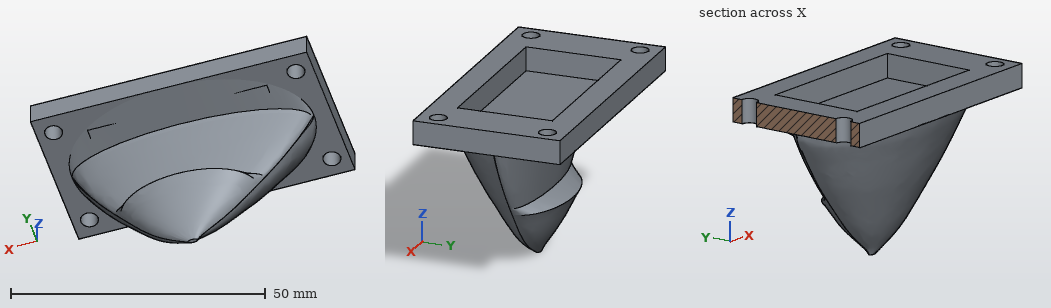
import cadquery as cq

PLATE_LENGTH = 57.0
PLATE_WIDTH = 31.0
PLATE_THICKNESS = 5.0

HOLE_DIAMETER = 3.5
HOLE_SPACING_X = 50.0
HOLE_SPACING_Y = 23.0

WINDOW_LENGTH = 37.0
WINDOW_WIDTH = 20.0

CONE_SECTIONS = [
    (0.0, 25.0, 25.0, PLATE_WIDTH / 2),
    (5.0, 22.6, 22.9, 13.35),
    (10.0, 19.25, 19.9, 11.1),
    (15.0, 15.5, 16.45, 8.7),
    (20.0, 11.25, 12.65, 6.2),
    (25.0, 6.5, 8.35, 3.6),
    (28.0, 2.85, 4.5, 1.6),
    (30.0, 1.0, 1.0, 0.4),
]

SKIRT_EDGE = (0.0, PLATE_WIDTH / 2)
SKIRT_ROOT = (0.55, 6.4)
WALL_TOP = (1.5, 6.05)
WALL_MIDDLE = (8.5, 4.7)
WALL_FOOT = (15.7, 3.4)
LEDGE_RIM = (17.4, 7.5)

WAIST_SIDE_START = 0
BACK_SIDE_START = 180


def cone_reach(depth):
    """Reach of the cone toward -X and +X at a depth, straight between sections."""
    for upper, lower in zip(CONE_SECTIONS, CONE_SECTIONS[1:]):
        upper_depth, upper_left, upper_right, _ = upper
        lower_depth, lower_left, lower_right, _ = lower
        if depth <= lower_depth:
            share = (depth - upper_depth) / (lower_depth - upper_depth)
            left = upper_left + share * (lower_left - upper_left)
            right = upper_right + share * (lower_right - upper_right)
            return left, right
    raise ValueError("depth is below the tip of the cone")


def half_ellipse(depth, left, right, y_reach, start_angle):
    """Horizontal half ellipse from -left to +right in X, closed along Y = 0."""
    end_angle = start_angle + 180
    return (
        cq.Workplane("XY", origin=((right - left) / 2, 0, -depth))
        .ellipseArc((left + right) / 2, y_reach, start_angle, end_angle, startAtCurrent=False)
        .close()
        .val()
    )


def make_plate():
    plate = cq.Workplane("XY").box(
        PLATE_LENGTH, PLATE_WIDTH, PLATE_THICKNESS, centered=(True, True, False)
    )
    window = cq.Workplane("XY").box(
        WINDOW_LENGTH, WINDOW_WIDTH, PLATE_THICKNESS, centered=(True, True, False)
    )
    holes = (
        cq.Workplane("XY")
        .rect(HOLE_SPACING_X, HOLE_SPACING_Y, forConstruction=True)
        .vertices()
        .circle(HOLE_DIAMETER / 2)
        .extrude(PLATE_THICKNESS)
    )
    return plate.cut(window).cut(holes)


def make_back_half():
    wires = [half_ellipse(*section, BACK_SIDE_START) for section in CONE_SECTIONS]
    return cq.Workplane(cq.Solid.makeLoft(wires))


def waist_section(level):
    """Half ellipse toward +Y, as wide as the cone but with its own Y reach."""
    depth, y_reach = level
    left, right = cone_reach(depth)
    return half_ellipse(depth, left, right, y_reach, WAIST_SIDE_START)


def waist_loft(*levels):
    """Solid blended through waist levels, smooth when there are more than two."""
    return cq.Solid.makeLoft([waist_section(level) for level in levels])


def make_tip():
    """The +Y half of the cone below the ledge rim, at full width again."""
    rim_depth, _ = LEDGE_RIM
    wires = [waist_section(LEDGE_RIM)]
    for depth, left, right, half_width in CONE_SECTIONS:
        if depth > rim_depth:
            wires.append(half_ellipse(depth, left, right, half_width, WAIST_SIDE_START))
    return cq.Solid.makeLoft(wires)


def make_waisted_half():
    skirt = waist_loft(SKIRT_EDGE, SKIRT_ROOT)
    root = waist_loft(SKIRT_ROOT, WALL_TOP)
    wall = waist_loft(WALL_TOP, WALL_MIDDLE, WALL_FOOT)
    ledge = waist_loft(WALL_FOOT, LEDGE_RIM)
    return cq.Workplane(skirt).union(root).union(wall).union(ledge).union(make_tip())


result = make_plate().union(make_back_half()).union(make_waisted_half())